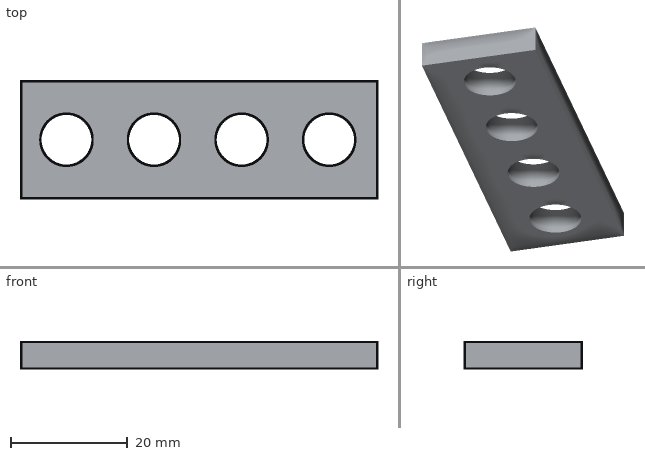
import cadquery as cq

length = 60.95
width = 20.05
thickness = 4.6

hole_diameter = 8.9
hole_count = 4
hole_pitch = 15.0
first_hole_from_end = 7.75

first_hole_x = first_hole_from_end - length / 2
hole_centers = [(first_hole_x + i * hole_pitch, 0) for i in range(hole_count)]

plate = cq.Workplane("XY").box(length, width, thickness)

result = plate.faces(">Z").workplane().pushPoints(hole_centers).hole(hole_diameter)